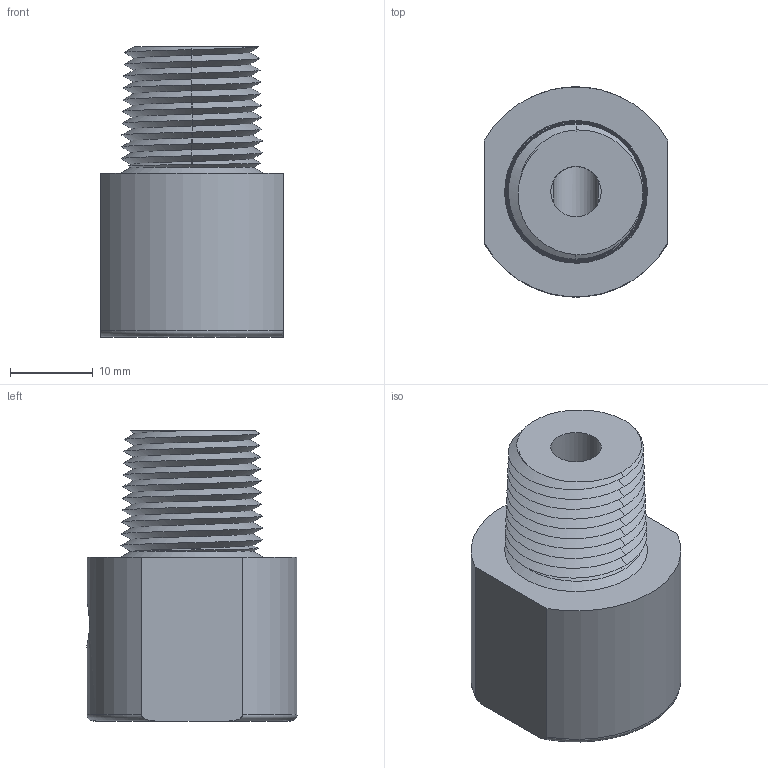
import cadquery as cq
import math

INCH = 25.4

body_diameter = 1.0 * INCH
across_flats = 7 / 8 * INCH
body_height = 19.8
bottom_fillet = INCH / 32

pitch = 1.425
thread_length = 15.27
thread_base_radius = 8.63
taper_slope = 1 / 32
thread_half_angle = math.radians(30)
blank_oversize = 0.02
groove_overshoot = 0.05
groove_start_angle = 90

bore_diameter = 6.1
port_diameter = 5.36
port_height = 11.75

body_radius = body_diameter / 2
total_height = body_height + thread_length
thread_top_radius = thread_base_radius - taper_slope * thread_length
groove_depth = pitch / 2 / math.tan(thread_half_angle)
cutter_half_width = (groove_depth + groove_overshoot) * math.tan(thread_half_angle)
taper_angle = math.degrees(math.atan(taper_slope))
first_groove_z = body_height + pitch / 2


def make_body():
    """Round body with a rounded lower rim, then cut to the wrench flats."""
    round_body = cq.Workplane("XY").circle(body_radius).extrude(body_height)
    round_body = round_body.faces("<Z").edges().fillet(bottom_fillet)
    flats = cq.Workplane("XY").box(across_flats, body_diameter, body_height, centered=(True, True, False))
    return round_body.intersect(flats)


def make_thread_blank():
    """Cone that the thread is cut into, slightly wider than the thread crests."""
    return (
        cq.Workplane("XY", origin=(0, 0, body_height))
        .circle(thread_base_radius + blank_oversize)
        .workplane(offset=thread_length)
        .circle(thread_top_radius + blank_oversize)
        .loft(ruled=True)
    )


def make_runout_groove():
    """Ring-shaped V groove at the shoulder, where the helical groove runs out."""
    return (
        cq.Workplane("XZ")
        .moveTo(thread_base_radius - groove_depth, first_groove_z)
        .lineTo(thread_base_radius + groove_overshoot, first_groove_z + cutter_half_width)
        .lineTo(thread_base_radius + groove_overshoot, first_groove_z - cutter_half_width)
        .close()
        .revolve(360, (0, 0, 0), (0, 1, 0))
    )


def make_groove_half_turn(index):
    """Half a turn of the V groove: three helical faces closed by two triangular ends."""
    rise = pitch / 2
    start_z = first_groove_z + index * rise
    start_angle = groove_start_angle + index * 180
    crest_radius = thread_base_radius - taper_slope * (start_z - body_height)

    def helix(radius, z_offset):
        return cq.Wire.makeHelix(
            pitch, rise, radius, center=cq.Vector(0, 0, start_z + z_offset), angle=-taper_angle
        )

    root = helix(crest_radius - groove_depth, 0)
    upper = helix(crest_radius + groove_overshoot, cutter_half_width)
    lower = helix(crest_radius + groove_overshoot, -cutter_half_width)
    edges = (root, upper, lower)

    faces = []
    for first, second in ((root, upper), (upper, lower), (lower, root)):
        faces += cq.Face.makeRuledSurface(first, second).Faces()
    for corners in ([edge.startPoint() for edge in edges], [edge.endPoint() for edge in edges]):
        faces.append(cq.Face.makeFromWires(cq.Wire.makePolygon(corners, close=True)))
    groove = cq.Solid.makeSolid(cq.Shell.makeShell(faces))
    return cq.Workplane(groove).rotate((0, 0, 0), (0, 0, 1), start_angle)


def make_thread():
    """Tapered right-hand thread, cut by half turns from the cone up to the top face."""
    half_turns = math.ceil(2 * thread_length / pitch)
    thread = make_thread_blank()
    for index in range(half_turns):
        thread = thread.cut(make_groove_half_turn(index))
    return thread.cut(make_runout_groove())


def make_passage():
    """Right-angled passage: vertical bore down to the port axis, and the side port."""
    bore = (
        cq.Workplane("XY", origin=(0, 0, port_height))
        .circle(bore_diameter / 2)
        .extrude(total_height - port_height)
    )
    port = (
        cq.Workplane("XZ", origin=(0, body_radius, port_height))
        .circle(port_diameter / 2)
        .extrude(body_radius + bore_diameter / 2)
    )
    return bore.union(port)


result = make_body().union(make_thread()).cut(make_passage())